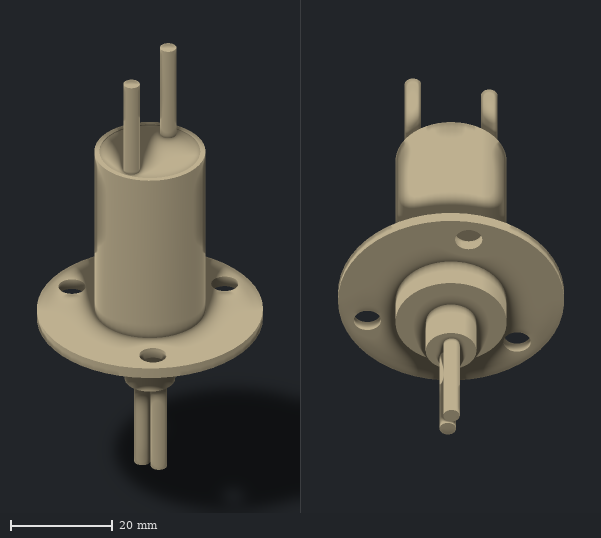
import cadquery as cq

total_height = 92.9
wire_length = 20.0
neck_height = 8.0
collar_height = 6.0
flange_thickness = 2.2

neck_bottom = wire_length
collar_bottom = neck_bottom + neck_height
flange_bottom = collar_bottom + collar_height
flange_top = flange_bottom + flange_thickness
housing_top = total_height - wire_length

flange_diameter = 44.8
housing_diameter = 22.0
neck_diameter = 10.0
wire_diameter = 3.25

cap_diameter = 20.0
cap_recess = 0.2

hole_count = 3
hole_diameter = 5.4
hole_circle_radius = 17.5
first_hole_angle = 60

upper_wire_spacing = 15.4
lower_wire_spacing = 3.7
lower_wire_offset = 0.3
wire_embed = 0.9


def cylinder(diameter, bottom, top, x=0, y=0):
    """Vertical cylinder between two heights."""
    return cq.Workplane("XY", origin=(x, y, bottom)).circle(diameter / 2).extrude(top - bottom)


neck = cylinder(neck_diameter, neck_bottom, collar_bottom)
housing = cylinder(housing_diameter, collar_bottom, housing_top)
flange = cylinder(flange_diameter, flange_bottom, flange_top)
body = housing.union(neck).union(flange)

body = body.cut(cylinder(cap_diameter, housing_top - cap_recess, housing_top))

holes = (
    cq.Workplane("XY", origin=(0, 0, flange_bottom))
    .polarArray(hole_circle_radius, first_hole_angle, 360, hole_count)
    .circle(hole_diameter / 2)
    .extrude(flange_thickness)
)
body = body.cut(holes)

for side in (-1, 1):
    upper_y = side * upper_wire_spacing / 2
    lower_x = side * lower_wire_spacing / 2
    upper_wire = cylinder(wire_diameter, housing_top - cap_recess - wire_embed, total_height, y=upper_y)
    lower_wire = cylinder(wire_diameter, 0, neck_bottom + wire_embed, x=lower_x, y=lower_wire_offset)
    body = body.union(upper_wire).union(lower_wire)

result = body